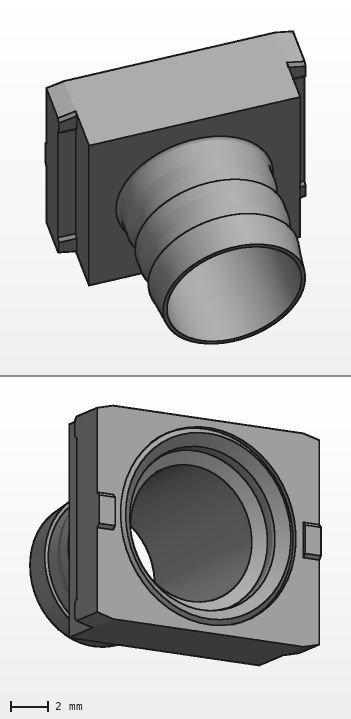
import cadquery as cq
import math

block_size = 11.9
block_depth = 4.71
ear_width = 1.0
ear_depth = 2.2
ear_corner_drop = 0.25
pad_height = 0.2
corner_pad_length = 1.49
nub_length = 1.97
half_block = block_size / 2
half_width = half_block + ear_width

head_radius = 5.49
head_depth = 2.78
rim_radius = 5.17
rim_chamfer = head_radius - rim_radius
tube_length = 7.49
tube_end = block_depth + tube_length
barb_radius = 4.25
groove_radius = 4.03
tip_radius = 4.0
root_length = 0.29
root_fillet_radius = 0.33
root_rise = root_fillet_radius - math.sqrt(root_fillet_radius**2 - root_length**2)
neck_radius = barb_radius + root_rise

root_end = block_depth + root_length
first_barb_end = 6.03
first_groove_start = 6.74
second_barb_start = 7.7
second_barb_end = 8.49
second_groove_start = 9.25
tip_barb_start = 10.2

bore_radius = 3.8
recess_radius = 4.49
recess_mouth_radius = 4.55
entry_depth = rim_radius - recess_mouth_radius
lip_length = 0.21
recess_length = 0.5
funnel_length = 0.49
recess_start = entry_depth + lip_length
funnel_start = recess_start + recess_length
bore_start = funnel_start + funnel_length


def make_ear():
    """The ear on the +Y side, with sloping top and bottom ends and its raised pads."""
    outer_half_height = half_block - ear_corner_drop
    ear = (
        cq.Workplane("YZ")
        .polyline([
            (half_block, -half_block),
            (half_width, -outer_half_height),
            (half_width, outer_half_height),
            (half_block, half_block),
        ])
        .close()
        .extrude(ear_depth)
    )
    for side in (-1, 1):
        ear = ear.union(make_corner_pad(side))
    return ear.union(make_nub())


def make_corner_pad(side):
    """A pad on the back of the ear; side is 1 for the top corner, -1 for the bottom one."""
    def outline(inset):
        low = half_block - corner_pad_length + inset
        inner_high = half_block - inset
        outer_high = inner_high - ear_corner_drop
        return [
            (half_block, side * low),
            (half_block, side * inner_high),
            (half_width, side * outer_high),
            (half_width, side * low),
        ]

    return (
        cq.Workplane("YZ", origin=(ear_depth, 0, 0))
        .polyline(outline(0))
        .close()
        .workplane(offset=pad_height)
        .polyline(outline(pad_height))
        .close()
        .loft(ruled=True)
    )


def make_nub():
    """The nub on the front of the ear, midway up it."""
    foot = nub_length / 2
    crest = foot - pad_height
    return (
        cq.Workplane("XZ", origin=(0, half_block, 0))
        .polyline([(0, -foot), (-pad_height, -crest), (-pad_height, crest), (0, foot)])
        .close()
        .extrude(-ear_width)
    )


def make_housing():
    """The block and both ears, with a stepped hole that holds the insert."""
    block = cq.Workplane("YZ").rect(block_size, block_size).extrude(block_depth)
    ear = make_ear()
    housing = block.union(ear).union(ear.mirror("XZ"))
    head_seat = cq.Workplane("YZ").circle(head_radius).extrude(head_depth)
    neck_hole = cq.Workplane("YZ").circle(neck_radius).extrude(block_depth)
    return housing.cut(head_seat).cut(neck_hole)


def make_insert():
    """The head, neck, barbs and stepped bore, turned about the X axis."""
    root_centre_radius = barb_radius + root_fillet_radius
    half_sweep = math.asin(root_length / root_fillet_radius) / 2
    root_middle = (
        root_end - root_fillet_radius * math.sin(half_sweep),
        root_centre_radius - root_fillet_radius * math.cos(half_sweep),
    )
    return (
        cq.Workplane("XY")
        .moveTo(0, rim_radius)
        .lineTo(rim_chamfer, head_radius)
        .lineTo(head_depth, head_radius)
        .lineTo(head_depth, neck_radius)
        .lineTo(block_depth, neck_radius)
        .threePointArc(root_middle, (root_end, barb_radius))
        .lineTo(first_barb_end, barb_radius)
        .lineTo(first_groove_start, groove_radius)
        .lineTo(second_barb_start, groove_radius)
        .lineTo(second_barb_start, barb_radius)
        .lineTo(second_barb_end, barb_radius)
        .lineTo(second_groove_start, groove_radius)
        .lineTo(tip_barb_start, groove_radius)
        .lineTo(tip_barb_start, barb_radius)
        .lineTo(tube_end, tip_radius)
        .lineTo(tube_end, bore_radius)
        .lineTo(bore_start, bore_radius)
        .lineTo(funnel_start, recess_radius)
        .lineTo(recess_start, recess_radius)
        .lineTo(entry_depth, recess_mouth_radius)
        .close()
        .revolve(360, (0, 0, 0), (1, 0, 0))
    )


housing = make_housing()
insert = make_insert()
result = cq.Compound.makeCompound([housing.val(), insert.val()])